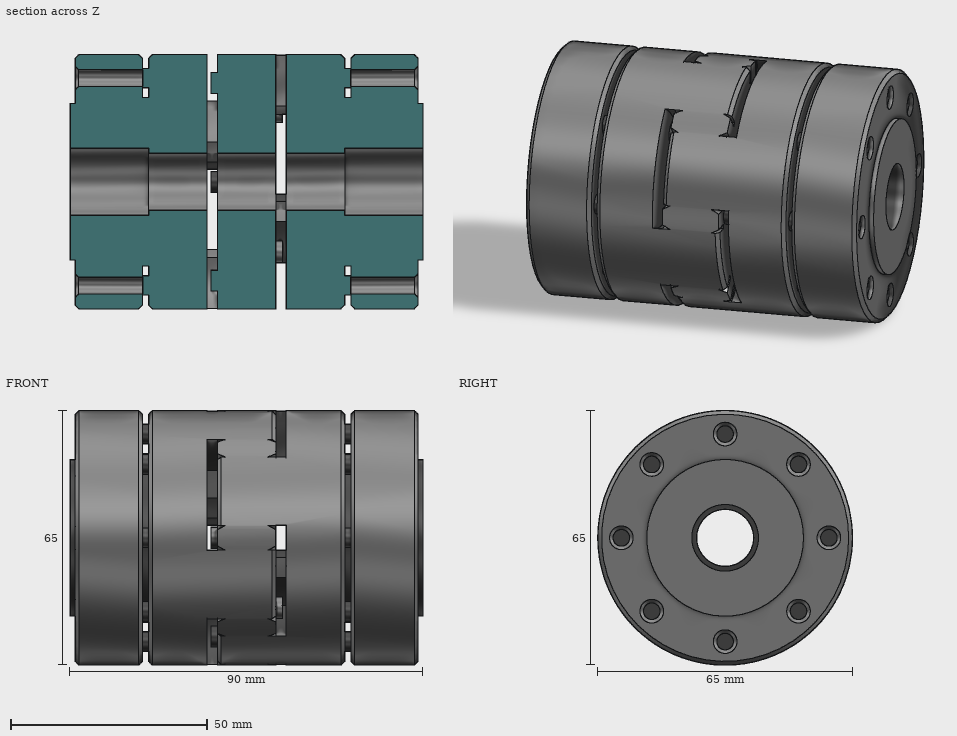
import cadquery as cq
import math

TOTAL_LENGTH = 90.0
OUTER_DIAMETER = 65.0
EDGE_CHAMFER = 1.0
OVERCUT = 0.9

BOSS_DIAMETER = 40.0
BOSS_HEIGHT = 1.3
FLANGE_THICKNESS = 17.2
HUB_BORE_DIAMETER = 17.0

BOLT_COUNT = 8
BOLT_PITCH = 360 / BOLT_COUNT
BOLT_CIRCLE_RADIUS = 26.5
BOLT_HOLE_DIAMETER = 4.2
BOLT_HOLE_MOUTH_DIAMETER = 6.0
SPACER_PIN_DIAMETER = 5.0

GAP = 1.5
NECK_DIAMETER = 43.1

BODY_BORE_DIAMETER = 14.5
SLOT_WIDTH = 2.6
SLOT_INNER_X = 7.5
SLOTS_PER_SIDE = 4
OVERLAP_COUNT = 2 * SLOTS_PER_SIDE
OVERLAP_HALF_WIDTH = 3.15
CAVITY_DIAMETER = 40.0
SLOT_END_ARC_RADIUS = 24.3
SLOT_END_ARC_CENTRE = 22.5

RELIEF_LENGTH = 2.0
RELIEF_WIDTH = 1.1
RELIEF_DEPTH = 4.5

STOP_PIN_DIAMETER = 5.4
STOP_PIN_LENGTH = 1.6
STOP_PIN_CIRCLE_RADIUS = 25.2

outer_radius = OUTER_DIAMETER / 2
flange_outer_x = TOTAL_LENGTH / 2 - BOSS_HEIGHT
flange_inner_x = flange_outer_x - FLANGE_THICKNESS
body_end_x = flange_inner_x - GAP
slot_outer_x = SLOT_INNER_X + SLOT_WIDTH
overlap_pitch = 360 / OVERLAP_COUNT
slot_pitch = 360 / SLOTS_PER_SIDE
overlap_half_angle = math.degrees(math.asin(OVERLAP_HALF_WIDTH / outer_radius))


def disc(x_start, x_end, diameter):
    """Round bar on the X axis between two X positions."""
    return cq.Workplane("YZ", origin=(x_start, 0, 0)).circle(diameter / 2).extrude(x_end - x_start)


def pin(x_start, x_end, diameter, circle_radius, angle):
    """Round bar parallel to X; the angle turns from -Y towards +Z."""
    bar = disc(x_start, x_end, diameter).translate((0, -circle_radius, 0))
    return turned(bar, angle)


def turned(shape, angle):
    """Turn a shape about the X axis, from -Y towards +Z for positive angles."""
    return shape.rotate((0, 0, 0), (1, 0, 0), -angle)


def mirrored(shape):
    """Mirror image in the middle plane X = 0."""
    return shape.mirror("YZ")


def hub_flange():
    """Right-hand flange with its boss and countersunk bolt holes."""
    flange = disc(flange_inner_x, flange_outer_x, OUTER_DIAMETER).edges("%CIRCLE").chamfer(EDGE_CHAMFER)
    flange = flange.union(disc(flange_outer_x, TOTAL_LENGTH / 2, BOSS_DIAMETER))
    mouth_depth = (BOLT_HOLE_MOUTH_DIAMETER - BOLT_HOLE_DIAMETER) / 2
    mouth_cone = cq.Workplane(cq.Solid.makeCone(
        BOLT_HOLE_DIAMETER / 2, BOLT_HOLE_MOUTH_DIAMETER / 2, mouth_depth,
        pnt=cq.Vector(flange_outer_x - mouth_depth, -BOLT_CIRCLE_RADIUS, 0), dir=cq.Vector(1, 0, 0),
    ))
    for index in range(BOLT_COUNT):
        angle = index * BOLT_PITCH
        hole = pin(flange_inner_x, flange_outer_x, BOLT_HOLE_DIAMETER, BOLT_CIRCLE_RADIUS, angle)
        flange = flange.cut(hole).cut(turned(mouth_cone, angle))
    return flange


def gap_bridge():
    """Right-hand neck and spacer pins between flange and body."""
    bridge = disc(body_end_x, flange_inner_x, NECK_DIAMETER)
    for index in range(BOLT_COUNT):
        angle = index * BOLT_PITCH
        bridge = bridge.union(
            pin(body_end_x, flange_inner_x, SPACER_PIN_DIAMETER, BOLT_CIRCLE_RADIUS, angle)
        )
    return bridge


def slot_sector():
    """Cutter for one right-hand slot, from the overlap at angle zero to the next one up.

    Both end walls are bowed outwards, widest at SLOT_END_ARC_CENTRE from the axis.
    """
    rim_distance = math.sqrt(outer_radius**2 - OVERLAP_HALF_WIDTH**2)

    def bow(distance):
        return math.sqrt(SLOT_END_ARC_RADIUS**2 - (distance - SLOT_END_ARC_CENTRE) ** 2)

    def lower_wall(distance):
        """(Y, Z) on the lower end wall at a distance along the overlap direction."""
        return (-distance, -OVERLAP_HALF_WIDTH - bow(distance) + bow(rim_distance))

    def upper_wall(distance):
        """Mirror image of the lower end wall in the centre line of the slot."""
        y, z = lower_wall(distance)
        turn = math.radians(overlap_pitch)
        return (
            y * math.cos(turn) - z * math.sin(turn),
            -y * math.sin(turn) - z * math.cos(turn),
        )

    inner_distance = CAVITY_DIAMETER / 2 - OVERCUT
    outer_distance = outer_radius + OVERCUT
    middle_angle = math.radians(overlap_pitch / 2)
    middle_radius = outer_radius + 2 * OVERCUT
    return (
        cq.Workplane("YZ", origin=(SLOT_INNER_X, 0, 0))
        .moveTo(*lower_wall(inner_distance))
        .threePointArc(lower_wall(SLOT_END_ARC_CENTRE), lower_wall(outer_distance))
        .threePointArc(
            (-middle_radius * math.cos(middle_angle), middle_radius * math.sin(middle_angle)),
            upper_wall(outer_distance),
        )
        .threePointArc(upper_wall(SLOT_END_ARC_CENTRE), upper_wall(inner_distance))
        .close()
        .extrude(SLOT_WIDTH)
    )


def slot_edge_chamfer():
    """Cutter for the rim chamfer on the inner wall of one slot, between its two overlaps."""
    chamfer_root = outer_radius - EDGE_CHAMFER
    sweep = overlap_pitch - 2 * overlap_half_angle
    ring_sector = (
        cq.Workplane("XY")
        .moveTo(SLOT_INNER_X + OVERCUT, -chamfer_root + OVERCUT)
        .lineTo(SLOT_INNER_X + OVERCUT, -outer_radius - OVERCUT)
        .lineTo(SLOT_INNER_X - EDGE_CHAMFER - OVERCUT, -outer_radius - OVERCUT)
        .close()
        .revolve(sweep, (0, 0, 0), (-1, 0, 0))
    )
    return turned(ring_sector, overlap_half_angle)


def bar_reliefs():
    """Tapered notches on both sides of one bar at its right-hand end."""
    notch = (
        cq.Workplane("XZ", origin=(0, -outer_radius + RELIEF_DEPTH, 0))
        .moveTo(SLOT_INNER_X, OVERLAP_HALF_WIDTH)
        .lineTo(SLOT_INNER_X - RELIEF_LENGTH, OVERLAP_HALF_WIDTH)
        .lineTo(SLOT_INNER_X, OVERLAP_HALF_WIDTH - RELIEF_WIDTH)
        .close()
        .extrude(RELIEF_DEPTH + OVERCUT)
    )
    return notch.union(notch.mirror("XY"))


def with_slots(body, first_slot_angle):
    """Cut the right-hand slots into the body and stand the stop pins in them."""
    body = body.cut(disc(SLOT_INNER_X, slot_outer_x, CAVITY_DIAMETER))
    for index in range(SLOTS_PER_SIDE):
        slot_angle = first_slot_angle + index * slot_pitch
        body = body.cut(turned(slot_sector(), slot_angle))
        body = body.cut(turned(slot_edge_chamfer(), slot_angle))
    for index in range(OVERLAP_COUNT):
        body = body.cut(turned(bar_reliefs(), index * overlap_pitch))
    for index in range(SLOTS_PER_SIDE):
        stop_angle = first_slot_angle + index * slot_pitch
        stop_pin = pin(
            SLOT_INNER_X, SLOT_INNER_X + STOP_PIN_LENGTH,
            STOP_PIN_DIAMETER, STOP_PIN_CIRCLE_RADIUS, stop_angle,
        )
        body = body.union(stop_pin)
    return body


def slotted_body():
    """Middle cylinder with the slots of both sides, one overlap pitch apart."""
    body = disc(-body_end_x, body_end_x, OUTER_DIAMETER).edges("%CIRCLE").chamfer(EDGE_CHAMFER)
    body = with_slots(body, overlap_pitch)
    return mirrored(with_slots(mirrored(body), 0))


right_end = hub_flange().union(gap_bridge())
coupling = slotted_body().union(right_end).union(mirrored(right_end))

coupling = coupling.cut(disc(-TOTAL_LENGTH / 2, TOTAL_LENGTH / 2, BODY_BORE_DIAMETER))
hub_bore = disc(body_end_x, TOTAL_LENGTH / 2, HUB_BORE_DIAMETER)
result = coupling.cut(hub_bore).cut(mirrored(hub_bore))